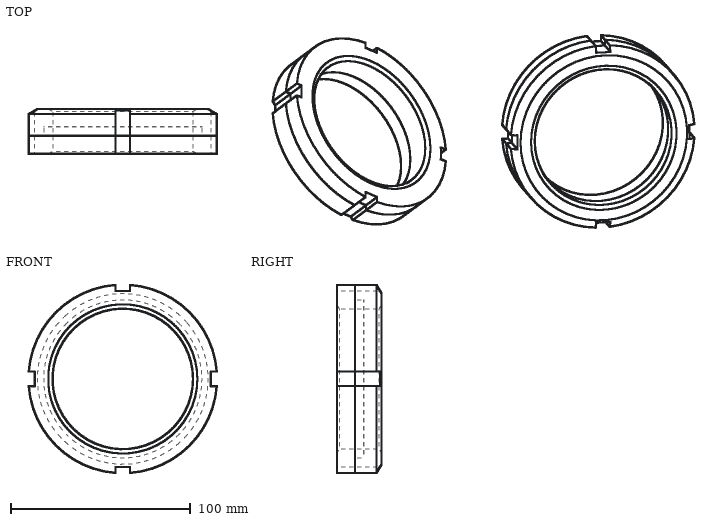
import cadquery as cq
import math

outer_diameter = 105.0
bore_diameter = 78.0
total_width = 25.0

front_rim_width = 10.0
spigot_length = 5.0
joint_gap = 0.1

bore_mouth_diameter = 83.0
bore_chamfer_angle = 30.0

rim_chamfer_radial = 5.0
rim_chamfer_angle = 30.0

slot_count = 4
slot_width = 8.0
slot_depth = 3.5

outer_radius = outer_diameter / 2
bore_radius = bore_diameter / 2
bore_mouth_radius = bore_mouth_diameter / 2
bore_chamfer_depth = (bore_mouth_radius - bore_radius) * math.tan(math.radians(bore_chamfer_angle))
rim_chamfer_depth = rim_chamfer_radial * math.tan(math.radians(rim_chamfer_angle))
slot_floor_radius = outer_radius - slot_depth
slot_cutter_height = 2 * slot_depth
spigot_radius = (bore_radius + slot_floor_radius) / 2
spigot_end = front_rim_width + spigot_length
back_rim_start = front_rim_width + joint_gap
recess_floor = spigot_end + joint_gap


def revolve_about_y(profile):
    """Turn a closed (radius, y) profile around the Y axis."""
    return cq.Workplane("XY").polyline(profile).close().revolve(360, (0, 0, 0), (0, 1, 0))


def cut_spanner_slots(ring):
    """Cut the equally spaced, flat-bottomed slots into the rim."""
    cutter = cq.Workplane("XY").box(
        slot_width, total_width, slot_cutter_height, centered=(True, False, False)
    ).translate((0, 0, slot_floor_radius))
    for index in range(slot_count):
        angle = index * 360 / slot_count
        ring = ring.cut(cutter.rotate((0, 0, 0), (0, 1, 0), angle))
    return ring


def make_front_ring():
    """Ring with the plain face, a chamfered bore mouth and the spigot."""
    ring = revolve_about_y([
        (bore_mouth_radius, 0),
        (outer_radius, 0),
        (outer_radius, front_rim_width),
        (spigot_radius, front_rim_width),
        (spigot_radius, spigot_end),
        (bore_radius, spigot_end),
        (bore_radius, bore_chamfer_depth),
    ])
    return cut_spanner_slots(ring)


def make_back_ring():
    """Ring with the chamfered rim, a chamfered bore mouth and the spigot recess."""
    ring = revolve_about_y([
        (bore_radius, recess_floor),
        (spigot_radius, recess_floor),
        (spigot_radius, back_rim_start),
        (outer_radius, back_rim_start),
        (outer_radius, total_width - rim_chamfer_depth),
        (outer_radius - rim_chamfer_radial, total_width),
        (bore_mouth_radius, total_width),
        (bore_radius, total_width - bore_chamfer_depth),
    ])
    return cut_spanner_slots(ring)


front_ring = make_front_ring()
back_ring = make_back_ring()

result = cq.Compound.makeCompound([front_ring.solids().val(), back_ring.solids().val()])